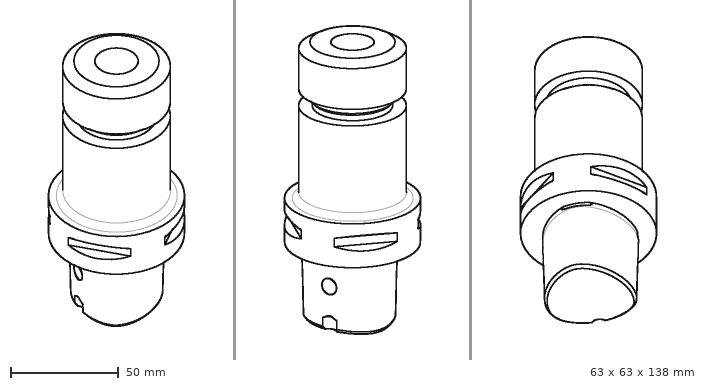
import cadquery as cq
import math

TOTAL_HEIGHT = 138.0
SHANK_LENGTH = 38.0
FLANGE_HEIGHT = 22.0
FLANGE_TOP = SHANK_LENGTH + FLANGE_HEIGHT
NECK_HEIGHT = 2.8
COLLAR_CHAMFER = 1.4
COLLAR_HEIGHT = 5.5
NUT_HEIGHT = 23.5
NUT_BOTTOM = TOTAL_HEIGHT - NUT_HEIGHT
COLLAR_BOTTOM = NUT_BOTTOM - COLLAR_HEIGHT
BODY_TOP = COLLAR_BOTTOM - NECK_HEIGHT

FLANGE_DIAMETER = 63.0
BODY_DIAMETER = 50.0
COLLAR_DIAMETER = 40.0
NECK_DIAMETER = COLLAR_DIAMETER - 2 * COLLAR_CHAMFER
BORE_DIAMETER = 20.0
BORE_DEPTH = 2 * BORE_DIAMETER
BODY_FILLET = 3.0
NUT_CHAMFER_HEIGHT = 3.0
NUT_CHAMFER_ANGLE = 30.0

LOBE_RADIUS = 22.2
LOBE_HEIGHT = 1.4
TAPER_PER_SIDE = 1 / 40
STRAIGHT_LENGTH = 2.6
END_CHAMFER_HEIGHT = 1.7
END_CHAMFER_WIDTH = 1.2
RELIEF_RING_RADIUS = 24.0
RELIEF_GROOVE_RADIUS = 1.4
RELIEF_DEPTH_BELOW_FLANGE = 0.8
PROFILE_POINTS = 48

GROOVE_COUNT = 4
FIRST_GROOVE_ANGLE = 45.0
GROOVE_FLOOR_RADIUS = 27.7
GROOVE_FLOOR_HEIGHT = 4.3
GROOVE_OFFSET = 12.1
GROOVE_CENTER_Z = SHANK_LENGTH + GROOVE_OFFSET
GROOVE_SIDE_ANGLE = 26.0

DRILL_DIAMETER = 8.0
DRILL_POINT_ANGLE = 118.0
DRILL_POINT_LENGTH = DRILL_DIAMETER / 2 / math.tan(math.radians(DRILL_POINT_ANGLE / 2))
DIMPLE_Z = 22.6
DIMPLE_DEPTH = 0.7
NOTCH_HEIGHT = 6.1
NOTCH_AXIS_Y = -21.0


def turned_body():
    """Flange, cylindrical body, neck and clamping nut as one revolved profile."""
    flange_radius = FLANGE_DIAMETER / 2
    body_radius = BODY_DIAMETER / 2
    collar_radius = COLLAR_DIAMETER / 2
    neck_radius = NECK_DIAMETER / 2
    nut_top_radius = body_radius - NUT_CHAMFER_HEIGHT / math.tan(math.radians(NUT_CHAMFER_ANGLE))
    fillet_reach = BODY_FILLET * (1 - math.sqrt(0.5))
    profile = (
        cq.Workplane("XZ")
        .moveTo(0, SHANK_LENGTH)
        .lineTo(flange_radius, SHANK_LENGTH)
        .lineTo(flange_radius, FLANGE_TOP)
        .lineTo(body_radius + BODY_FILLET, FLANGE_TOP)
        .threePointArc(
            (body_radius + fillet_reach, FLANGE_TOP + fillet_reach),
            (body_radius, FLANGE_TOP + BODY_FILLET),
        )
        .lineTo(body_radius, BODY_TOP)
        .lineTo(neck_radius, BODY_TOP)
        .lineTo(neck_radius, COLLAR_BOTTOM)
        .lineTo(collar_radius, COLLAR_BOTTOM + COLLAR_CHAMFER)
        .lineTo(collar_radius, NUT_BOTTOM)
        .lineTo(body_radius, NUT_BOTTOM)
        .lineTo(body_radius, TOTAL_HEIGHT - NUT_CHAMFER_HEIGHT)
        .lineTo(nut_top_radius, TOTAL_HEIGHT)
        .lineTo(0, TOTAL_HEIGHT)
        .close()
    )
    return profile.revolve(360, (0, 0, 0), (0, 1, 0))


def lobed_point(mean_radius, angle):
    """Point of a constant-width three-lobed curve, with its lobe at angle 0 turned to +Y."""
    along = (
        mean_radius * math.cos(angle)
        + 2 * LOBE_HEIGHT * math.cos(2 * angle)
        - LOBE_HEIGHT * math.cos(4 * angle)
    )
    across = (
        mean_radius * math.sin(angle)
        - 2 * LOBE_HEIGHT * math.sin(2 * angle)
        - LOBE_HEIGHT * math.sin(4 * angle)
    )
    return cq.Vector(-across, along, 0)


def lobed_wire(mean_radius, z):
    """Closed three-lobed outline at height z, with its seam on the +Y lobe."""
    points = []
    for i in range(PROFILE_POINTS):
        angle = 2 * math.pi * i / PROFILE_POINTS
        points.append(lobed_point(mean_radius, angle) + cq.Vector(0, 0, z))
    return cq.Wire.assembleEdges([cq.Edge.makeSpline(points, periodic=True)])


def lobed_segment(lower_radius, lower_z, upper_radius, upper_z):
    """Solid between two three-lobed outlines."""
    lower = lobed_wire(lower_radius, lower_z)
    upper = lobed_wire(upper_radius, upper_z)
    return cq.Workplane(cq.Solid.makeLoft([lower, upper], True))


TAPER_TOP = SHANK_LENGTH - STRAIGHT_LENGTH
TAPER_END_RADIUS = LOBE_RADIUS - (TAPER_TOP - END_CHAMFER_HEIGHT) * TAPER_PER_SIDE


def lobed_shank():
    """End chamfer, taper and straight neck, with the lobe tips relieved under the flange."""
    chamfer = lobed_segment(TAPER_END_RADIUS - END_CHAMFER_WIDTH, 0, TAPER_END_RADIUS, END_CHAMFER_HEIGHT)
    taper = lobed_segment(TAPER_END_RADIUS, END_CHAMFER_HEIGHT, LOBE_RADIUS, TAPER_TOP)
    straight = lobed_segment(LOBE_RADIUS, TAPER_TOP, LOBE_RADIUS, SHANK_LENGTH)
    relief = (
        cq.Workplane("XZ", origin=(0, 0, SHANK_LENGTH - RELIEF_DEPTH_BELOW_FLANGE))
        .center(RELIEF_RING_RADIUS, 0)
        .circle(RELIEF_GROOVE_RADIUS)
        .revolve(360, (-RELIEF_RING_RADIUS, 0, 0), (-RELIEF_RING_RADIUS, 1, 0))
    )
    return chamfer.union(taper).union(straight.cut(relief))


def gripper_groove(angle):
    """Flat-bottomed groove with sloping sides, cut straight across the flange rim."""
    depth = FLANGE_DIAMETER / 2 - GROOVE_FLOOR_RADIUS
    floor_half = GROOVE_FLOOR_HEIGHT / 2
    mouth_half = floor_half + depth * math.tan(math.radians(GROOVE_SIDE_ANGLE))
    return (
        cq.Workplane("XZ", origin=(0, 0, GROOVE_CENTER_Z))
        .moveTo(GROOVE_FLOOR_RADIUS, -floor_half)
        .lineTo(FLANGE_DIAMETER / 2, -mouth_half)
        .lineTo(FLANGE_DIAMETER / 2, mouth_half)
        .lineTo(GROOVE_FLOOR_RADIUS, floor_half)
        .close()
        .extrude(FLANGE_DIAMETER / 2, both=True)
        .rotate((0, 0, 0), (0, 0, 1), angle)
    )


def drill(start, direction, straight_length):
    """Drill-shaped cutter: a cylinder ending in a conical point."""
    radius = DRILL_DIAMETER / 2
    axis = cq.Vector(*direction)
    shoulder = cq.Vector(*start) + axis * straight_length
    cylinder = cq.Solid.makeCylinder(radius, straight_length, cq.Vector(*start), axis)
    point = cq.Solid.makeCone(radius, 0, DRILL_POINT_LENGTH, shoulder, axis)
    return cq.Workplane(cylinder).union(cq.Workplane(point))


part = turned_body().union(lobed_shank())
part = part.faces(">Z").workplane().hole(BORE_DIAMETER, BORE_DEPTH)

for index in range(GROOVE_COUNT):
    part = part.cut(gripper_groove(FIRST_GROOVE_ANGLE + index * 360 / GROOVE_COUNT))

flat_y = LOBE_HEIGHT - LOBE_RADIUS
outside_y = -FLANGE_DIAMETER / 2
dimple_length = flat_y + DIMPLE_DEPTH - outside_y
part = part.cut(drill((0, outside_y, DIMPLE_Z), (0, 1, 0), dimple_length))
part = part.cut(drill((0, NOTCH_AXIS_Y, 0), (0, 0, 1), NOTCH_HEIGHT))

result = part